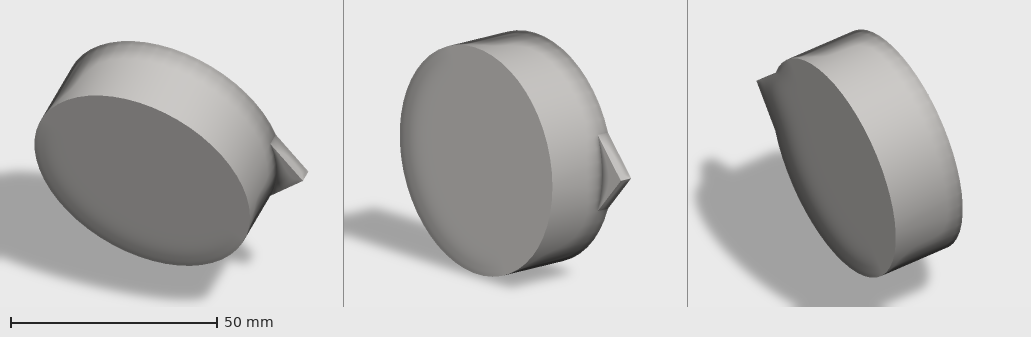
import cadquery as cq
import math

overall_length = 64.15
disc_diameter = 57.15
disc_thickness = 19.05

pointer_thickness = 3.3
pointer_half_width = 9.6

disc_radius = disc_diameter / 2
pointer_tip_x = overall_length - disc_radius
pointer_base_x = math.sqrt(disc_radius**2 - pointer_half_width**2)


def make_disc():
    """Plain disc with its axis along Y and its back face at Y = 0."""
    return cq.Workplane("XZ").circle(disc_radius).extrude(disc_thickness)


def make_pointer():
    """Triangular pointer aimed along +X, with its back face at Y = 0."""
    corners = [
        (pointer_base_x, -pointer_half_width),
        (pointer_tip_x, 0),
        (pointer_base_x, pointer_half_width),
    ]
    return cq.Workplane("XZ").polyline(corners).close().extrude(pointer_thickness)


result = make_disc().union(make_pointer())